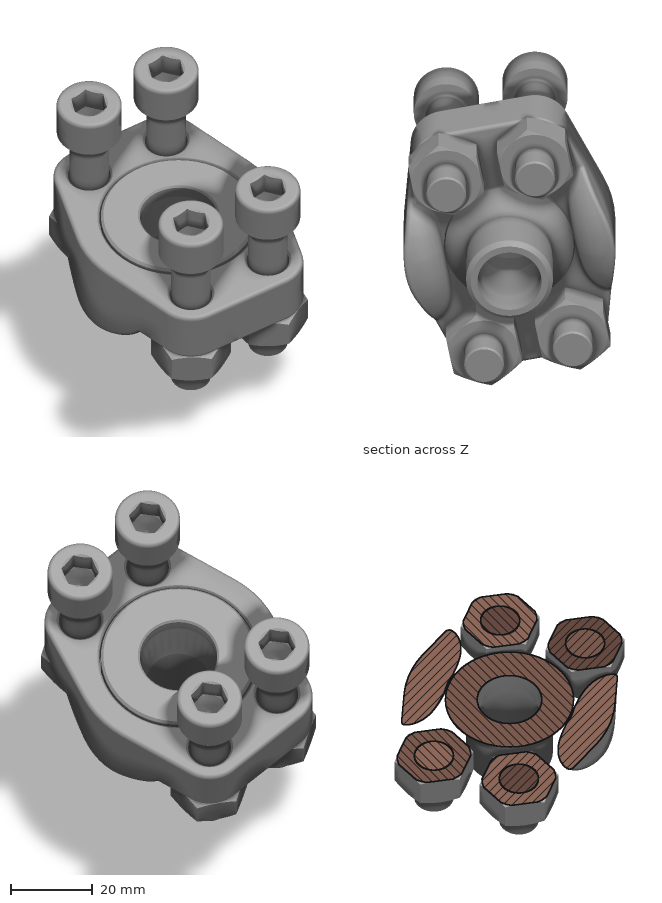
import math

import cadquery as cq


BOLT_SPACING_X = 47.6
BOLT_SPACING_Y = 22.2

FLANGE_THICKNESS = 14.0
MIDDLE_DIAMETER = 52.0
MIDDLE_RADIUS = MIDDLE_DIAMETER / 2
CORNER_RADIUS = 8.75
EDGE_FILLET = 1.0
BOLT_HOLE_DIAMETER = 10.5
BOLT_HOLE_CHAMFER = 0.55
RECESS_DIAMETER = 38.9
RECESS_DEPTH = 7.0
RECESS_CHAMFER = 0.5
HUB_HOLE_DIAMETER = 32.15

LOBE_DEPTH = 8.55
LOBE_RADIUS = 22.2
LOBE_END_RADIUS = 7.4
LOBE_INNER_Y = HUB_HOLE_DIAMETER / 2

INSERT_PROTRUSION = 0.6
DISC_DIAMETER = 38.1
DISC_CHAMFER = 0.6
HUB_DIAMETER = 31.6
HUB_PROTRUSION = 0.55
NECK_DIAMETER = 21.3
NECK_FILLET = 1.0
NECK_BOTTOM_Z = -20.5
NECK_CHAMFER = 1.15
BORE_DIAMETER = 15.7
BORE_ENTRY_DIAMETER = 19.0
BORE_ENTRY_DEPTH = 3.55
BORE_ENTRY_CHAMFER = 0.5
BORE_TAPER_LENGTH = 10.1

SCREW_TOP_Z = 39.1
SHANK_DIAMETER = 9.75
SHANK_LENGTH = 45.0
SHANK_CHAMFER = 0.4
HEAD_DIAMETER = 16.0
HEAD_HEIGHT = 10.0
HEAD_FILLET = 1.0
HEAD_NECK_FILLET = 0.75
SOCKET_FLATS = 8.0
SOCKET_DEPTH = 6.0
SOCKET_TURN = 40.0
SOCKET_TIP_DIAMETER = 8.0
SOCKET_TIP_HEIGHT = 2.3
SOCKET_MOUTH_DIAMETER = 9.2
SOCKET_MOUTH_ANGLE = 30.0

NUT_FLATS = 17.0
NUT_HEIGHT = 8.2
NUT_CHAMFER_ANGLE = 30.0

HEX_SIDES = 6

TOLERANCE = 0.01

BOLT_POINTS = [
    (sx * BOLT_SPACING_X / 2, sy * BOLT_SPACING_Y / 2) for sx in (-1, 1) for sy in (-1, 1)
]


def corner_diameter(flats):
    """Distance across the corners of a hexagon with the given distance across flats."""
    return flats / math.cos(math.pi / HEX_SIDES)


def cone(large_radius, small_radius, length, z):
    """Cone with its large end at height z, narrowing downwards."""
    start = cq.Vector(0, 0, z)
    return cq.Workplane(cq.Solid.makeCone(large_radius, small_radius, length, start, cq.Vector(0, 0, -1)))


def fillet_joint(body, radius, z, fillet_radius):
    """Fillet the circular edge of the given radius that lies at height z around the Z axis."""
    reach = radius + TOLERANCE
    box = cq.selectors.BoxSelector((-reach, -reach, z - TOLERANCE), (reach, reach, z + TOLERANCE), True)
    return body.edges(box).fillet(fillet_radius)


def flange_outline(bottom_z, height):
    """Prism bounded by the middle circle, the four corner circles and their tangents."""
    bolt_x = BOLT_SPACING_X / 2
    bolt_y = BOLT_SPACING_Y / 2
    centre_distance = math.hypot(bolt_x, bolt_y)
    normal = math.atan2(bolt_y, bolt_x) + math.acos((MIDDLE_RADIUS - CORNER_RADIUS) / centre_distance)
    nx, ny = math.cos(normal), math.sin(normal)
    corner_middle = normal / 2
    side_x = bolt_x + CORNER_RADIUS
    tangent_x = bolt_x + CORNER_RADIUS * nx
    tangent_y = bolt_y + CORNER_RADIUS * ny
    arc_x = bolt_x + CORNER_RADIUS * math.cos(corner_middle)
    arc_y = bolt_y + CORNER_RADIUS * math.sin(corner_middle)
    middle_x, middle_y = MIDDLE_RADIUS * nx, MIDDLE_RADIUS * ny
    return (
        cq.Workplane("XY", origin=(0, 0, bottom_z))
        .moveTo(side_x, -bolt_y)
        .lineTo(side_x, bolt_y)
        .threePointArc((arc_x, arc_y), (tangent_x, tangent_y))
        .lineTo(middle_x, middle_y)
        .threePointArc((0, MIDDLE_RADIUS), (-middle_x, middle_y))
        .lineTo(-tangent_x, tangent_y)
        .threePointArc((-arc_x, arc_y), (-side_x, bolt_y))
        .lineTo(-side_x, -bolt_y)
        .threePointArc((-arc_x, -arc_y), (-tangent_x, -tangent_y))
        .lineTo(-middle_x, -middle_y)
        .threePointArc((0, -MIDDLE_RADIUS), (middle_x, -middle_y))
        .lineTo(tangent_x, -tangent_y)
        .threePointArc((arc_x, -arc_y), (side_x, -bolt_y))
        .close()
        .extrude(height)
    )


def lobe_drum():
    """Drum lying along +Y, with its inner end rounded."""
    axis_z = LOBE_RADIUS - LOBE_DEPTH
    round_y = LOBE_INNER_Y + LOBE_END_RADIUS
    round_z = LOBE_END_RADIUS - LOBE_DEPTH
    diagonal = LOBE_END_RADIUS * math.sqrt(0.5)
    outer_y = MIDDLE_RADIUS + LOBE_END_RADIUS
    return (
        cq.Workplane("YZ")
        .moveTo(LOBE_INNER_Y, axis_z)
        .lineTo(LOBE_INNER_Y, round_z)
        .threePointArc((round_y - diagonal, round_z - diagonal), (round_y, -LOBE_DEPTH))
        .lineTo(outer_y, -LOBE_DEPTH)
        .lineTo(outer_y, axis_z)
        .close()
        .revolve(360, (0, axis_z, 0), (1, axis_z, 0))
    )


def round_flange_edges(body):
    """Round the rim of the plate and the lower edges of every side wall."""
    body = body.faces(">Z").edges().fillet(EDGE_FILLET)
    walls = [face for face in body.faces().vals() if face.BoundingBox().zlen > FLANGE_THICKNESS / 2]
    lower_edges = [
        edge for wall in walls for edge in wall.Edges() if edge.BoundingBox().zmax < FLANGE_THICKNESS / 2
    ]
    return body.newObject(lower_edges).fillet(EDGE_FILLET)


def chamfer_cutter(diameter, chamfer):
    """Cutter that chamfers the mouth of a hole in the top of the flange."""
    return cone(diameter / 2 + chamfer, diameter / 2, chamfer, FLANGE_THICKNESS)


def make_flange():
    """Plate with two lobes, a stepped hole for the insert and four bolt holes."""
    plate = flange_outline(0, FLANGE_THICKNESS)
    drum = lobe_drum()
    drums = drum.union(drum.rotate((0, 0, 0), (0, 0, 1), 180))
    lobes = drums.intersect(flange_outline(-LOBE_DEPTH, LOBE_DEPTH + FLANGE_THICKNESS / 2))
    body = round_flange_edges(plate.union(lobes))
    body = body.faces(">Z").workplane(origin=(0, 0, 0)).circle(HUB_HOLE_DIAMETER / 2).cutThruAll()
    recess = cq.Workplane("XY", origin=(0, 0, FLANGE_THICKNESS)).circle(RECESS_DIAMETER / 2)
    recess = recess.extrude(-RECESS_DEPTH)
    body = body.cut(recess).cut(chamfer_cutter(RECESS_DIAMETER, RECESS_CHAMFER))
    bolt_hole = cq.Workplane("XY").circle(BOLT_HOLE_DIAMETER / 2).extrude(FLANGE_THICKNESS)
    bolt_hole = bolt_hole.union(chamfer_cutter(BOLT_HOLE_DIAMETER, BOLT_HOLE_CHAMFER))
    for bolt_x, bolt_y in BOLT_POINTS:
        body = body.cut(bolt_hole.translate((bolt_x, bolt_y, 0)))
    return body


def make_insert():
    """Turned insert: a disc in the recess, a hub through the flange and a tapering neck."""
    top_z = FLANGE_THICKNESS + INSERT_PROTRUSION
    shoulder_z = FLANGE_THICKNESS - RECESS_DEPTH
    cone_length = (HUB_DIAMETER - NECK_DIAMETER) / 2
    neck = cq.Workplane("XY", origin=(0, 0, NECK_BOTTOM_Z)).circle(NECK_DIAMETER / 2)
    neck = neck.extrude(-HUB_PROTRUSION - NECK_BOTTOM_Z).faces("<Z").chamfer(NECK_CHAMFER)
    body = neck.union(cone(HUB_DIAMETER / 2, NECK_DIAMETER / 2, cone_length, -HUB_PROTRUSION))
    neck_joint_z = -HUB_PROTRUSION - cone_length
    body = fillet_joint(body, NECK_DIAMETER / 2, neck_joint_z, NECK_FILLET)

    hub = cq.Workplane("XY", origin=(0, 0, -HUB_PROTRUSION)).circle(HUB_DIAMETER / 2)
    hub = hub.extrude(shoulder_z + HUB_PROTRUSION)
    disc = cq.Workplane("XY", origin=(0, 0, shoulder_z)).circle(DISC_DIAMETER / 2)
    disc = disc.extrude(top_z - shoulder_z).faces(">Z").chamfer(DISC_CHAMFER)
    return body.union(hub).union(disc).cut(insert_bore(top_z))


def insert_bore(top_z):
    """Bore with a chamfered straight entry that tapers down to the pipe size."""
    bore = cq.Workplane("XY", origin=(0, 0, NECK_BOTTOM_Z)).circle(BORE_DIAMETER / 2)
    bore = bore.extrude(top_z - NECK_BOTTOM_Z)
    entry_radius = BORE_ENTRY_DIAMETER / 2
    entry = cq.Workplane("XY", origin=(0, 0, top_z)).circle(entry_radius).extrude(-BORE_ENTRY_DEPTH)
    chamfer = cone(entry_radius + BORE_ENTRY_CHAMFER, entry_radius, BORE_ENTRY_CHAMFER, top_z)
    taper = cone(entry_radius, BORE_DIAMETER / 2, BORE_TAPER_LENGTH, top_z - BORE_ENTRY_DEPTH)
    return bore.union(entry).union(taper).union(chamfer)


def socket_cutter():
    """Hexagon socket with a conical bottom and a chamfered mouth."""
    socket = cq.Workplane("XY", origin=(0, 0, SCREW_TOP_Z)).polygon(HEX_SIDES, corner_diameter(SOCKET_FLATS))
    socket = socket.extrude(-SOCKET_DEPTH)
    tip = cone(SOCKET_TIP_DIAMETER / 2, 0, SOCKET_TIP_HEIGHT, SCREW_TOP_Z - SOCKET_DEPTH)
    mouth_height = SOCKET_MOUTH_DIAMETER / 2 * math.tan(math.radians(SOCKET_MOUTH_ANGLE))
    mouth = cone(SOCKET_MOUTH_DIAMETER / 2, 0, mouth_height, SCREW_TOP_Z)
    return socket.union(tip).union(mouth).rotate((0, 0, 0), (0, 0, 1), SOCKET_TURN)


def make_screw():
    """Socket head cap screw on the Z axis."""
    underside_z = SCREW_TOP_Z - HEAD_HEIGHT
    head = cq.Workplane("XY", origin=(0, 0, underside_z)).circle(HEAD_DIAMETER / 2).extrude(HEAD_HEIGHT)
    head = head.faces(">Z").edges().fillet(HEAD_FILLET)
    shank = cq.Workplane("XY", origin=(0, 0, underside_z)).circle(SHANK_DIAMETER / 2).extrude(-SHANK_LENGTH)
    shank = shank.faces("<Z").chamfer(SHANK_CHAMFER)
    body = head.union(shank)
    body = fillet_joint(body, SHANK_DIAMETER / 2, underside_z, HEAD_NECK_FILLET)
    return body.cut(socket_cutter())


def make_nut():
    """Hexagon nut on the Z axis, with corners along X and both faces chamfered."""
    outer_radius = corner_diameter(NUT_FLATS) / 2
    chamfer_height = (outer_radius - NUT_FLATS / 2) * math.tan(math.radians(NUT_CHAMFER_ANGLE))
    hexagon = cq.Workplane("XY").polygon(HEX_SIDES, 2 * outer_radius).extrude(-NUT_HEIGHT)
    envelope = (
        cq.Workplane("XY")
        .circle(outer_radius)
        .extrude(-NUT_HEIGHT)
        .faces("<Z or >Z")
        .chamfer(chamfer_height, outer_radius - NUT_FLATS / 2)
    )
    hole = cq.Workplane("XY").circle(SHANK_DIAMETER / 2).extrude(-NUT_HEIGHT)
    return hexagon.intersect(envelope).cut(hole)


flange = make_flange()
insert = make_insert()
screws = []
nuts = []
for bolt_x, bolt_y in BOLT_POINTS:
    screws.append(make_screw().translate((bolt_x, bolt_y, 0)).val())
    nuts.append(make_nut().translate((bolt_x, bolt_y, 0)).val())

result = cq.Compound.makeCompound([flange.val(), insert.val(), *screws, *nuts])